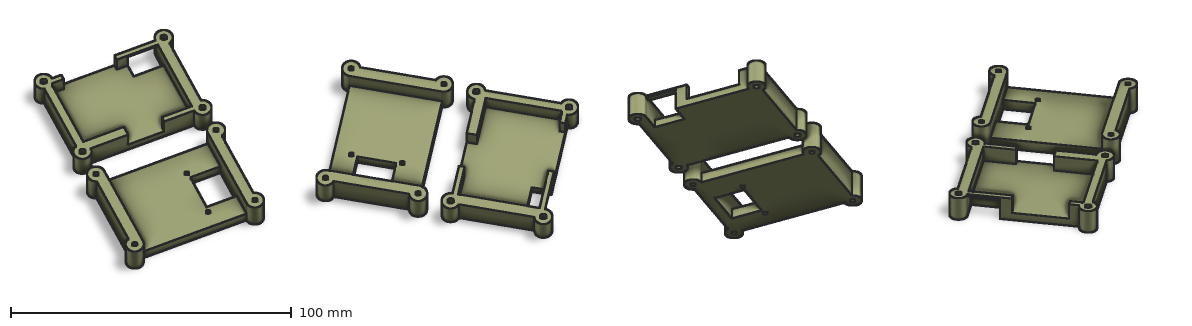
import cadquery as cq

boss_diameter = 6.5
boss_radius = boss_diameter / 2
overall_length = 85.6
overall_width = 53.4
lid_offset = 45.5
boss_pitch_x = overall_length - lid_offset - boss_diameter
boss_pitch_y = overall_width - boss_diameter

front_overhang = 1.1
back_overhang = 0.85
front_face = -front_overhang
back_face = boss_pitch_y + back_overhang
back_wall_inner = boss_pitch_y - boss_radius
opening_front = 31.9

tray_height = 9.2
tray_floor = 3.1
tray_hole_diameter = 2.2
thin_wall = 2.05
thick_wall = 3.8
notch_front = 6.9
notch_back = 27.65
right_gap_front = 17.9
side_window_depth = 7.2
side_window_height = 8.3

lid_height = 10.5
lid_floor = 4.0
lid_hole_diameter = 1.8
lid_window_left = 11.0
lid_window_right = 25.1
small_hole_diameter = 1.6
small_hole_left = 8.8
small_hole_right = 27.3
small_hole_y = 31.5


def block(x_range, y_range, z_range):
    """Box spanning the given (low, high) range on each axis."""
    sizes = [high - low for low, high in (x_range, y_range, z_range)]
    corner = (x_range[0], y_range[0], z_range[0])
    return cq.Workplane("XY").box(*sizes, centered=False).translate(corner)


def corner_cylinders(diameter, height):
    """Vertical cylinders on the four boss axes."""
    corners = [(x, y) for x in (0, boss_pitch_x) for y in (0, boss_pitch_y)]
    return cq.Workplane("XY").pushPoints(corners).circle(diameter / 2).extrude(height)


def plate(height):
    """Full rectangular outline between the boss axes in X."""
    return block((0, boss_pitch_x), (front_face, back_face), (0, height))


def add_drilled_bosses(body, height, hole_diameter):
    """Join the four corner bosses and drill them through."""
    with_bosses = body.union(corner_cylinders(boss_diameter, height))
    return with_bosses.cut(corner_cylinders(hole_diameter, height))


def make_tray():
    above_floor = (tray_floor, tray_height)
    body = plate(tray_height)

    thick_inner = boss_pitch_x - thick_wall
    thin_inner = boss_pitch_x - thin_wall
    body = body.cut(block((thin_wall, thick_inner), (thin_wall, back_wall_inner), above_floor))
    body = body.cut(block((thick_inner, thin_inner), (right_gap_front, back_wall_inner), above_floor))

    body = body.cut(block((0, thin_wall), (notch_front, notch_back), above_floor))
    body = body.cut(block((thin_inner, boss_pitch_x), (right_gap_front, opening_front), above_floor))

    body = body.cut(block((0, side_window_depth), (opening_front, back_wall_inner), (0, side_window_height)))

    return add_drilled_bosses(body, tray_height, tray_hole_diameter)


def make_lid():
    body = plate(lid_height)

    body = body.cut(block((0, boss_pitch_x), (boss_radius, back_wall_inner), (lid_floor, lid_height)))

    body = body.cut(
        block((lid_window_left, lid_window_right), (opening_front, back_wall_inner), (0, lid_floor))
    )

    small_holes = (
        cq.Workplane("XY")
        .pushPoints([(small_hole_left, small_hole_y), (small_hole_right, small_hole_y)])
        .circle(small_hole_diameter / 2)
        .extrude(lid_floor)
    )
    body = body.cut(small_holes)

    return add_drilled_bosses(body, lid_height, lid_hole_diameter)


tray = make_tray()
lid = make_lid().translate((lid_offset, 0, 0))

result = cq.Compound.makeCompound([tray.solids().val(), lid.solids().val()])